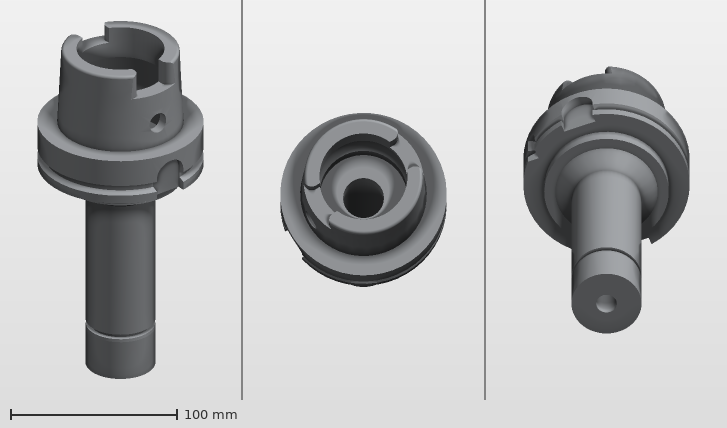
import cadquery as cq
import math

overall_length = 215.0
shank_length = 49.9
flange_width = 29.0
collar_height = 8.2
cone_height = 9.7
nut_height = 27.0
neck_height = 3.2

flange_top = overall_length - shank_length
flange_bottom = flange_top - flange_width
collar_bottom = flange_bottom - collar_height
cone_bottom = collar_bottom - cone_height
neck_top = nut_height + neck_height

shank_base_radius = 38.0
shank_taper = 0.1
shank_top_radius = shank_base_radius - shank_length * shank_taper / 2
flange_diameter = 100.0
flange_radius = flange_diameter / 2
collar_radius = 37.5
shaft_radius = 21.0
cone_top_radius = shaft_radius + cone_height
neck_radius = 18.0
shank_rim_fillet = 2.0

groove_top = flange_top - 17.0
groove_width = 6.7
groove_depth = 3.7
groove_side_height = 1.7

mouth_radius = 26.5
mouth_depth = 20.5
chamber_radius = 31.4
chamber_depth = 40.5
chamber_curve_radius = 9.9
pocket_depth = 60.8
bore_radius = 12.3

drive_slot_width = 20.0
finger_half_length = 32.2
finger_corner_radius = 5.0
shallow_slot_depth = 10.0
deep_slot_depth = 15.3

cross_hole_radius = 6.2
cross_hole_level = flange_top + 15.0

keyway_width = drive_slot_width
keyway_top = flange_top - 5.2
drive_keyway_floor = 44.0
notch_floor = 32.2
notch_offset = 41.3

nut_edge_height = 2.0
nut_edge_inset = 0.2
collet_bore_radius = 6.2
collet_length = 34.0


def cylinder(radius, bottom, top):
    return cq.Workplane("XY").workplane(offset=bottom).circle(radius).extrude(top - bottom)


def block(x_min, x_max, y_width, z_min, z_max, y_center):
    size = (x_max - x_min, y_width, z_max - z_min)
    return cq.Workplane("XY").box(*size, centered=(False, True, False)).translate((x_min, y_center, z_min))


def turned_holder():
    groove_bottom = groove_top - groove_width
    groove_radius = flange_radius - groove_depth
    return (
        cq.Workplane("YZ")
        .moveTo(0, nut_height)
        .lineTo(neck_radius, nut_height)
        .lineTo(neck_radius, neck_top)
        .lineTo(shaft_radius, neck_top)
        .lineTo(shaft_radius, cone_bottom)
        .lineTo(cone_top_radius, collar_bottom)
        .lineTo(collar_radius, collar_bottom)
        .lineTo(collar_radius, flange_bottom)
        .lineTo(flange_radius, flange_bottom)
        .lineTo(flange_radius, groove_bottom)
        .lineTo(groove_radius, groove_bottom + groove_side_height)
        .lineTo(groove_radius, groove_top - groove_side_height)
        .lineTo(flange_radius, groove_top)
        .lineTo(flange_radius, flange_top)
        .lineTo(shank_base_radius, flange_top)
        .lineTo(shank_top_radius, overall_length)
        .lineTo(0, overall_length)
        .close()
        .revolve(360, (0, 0), (0, 1))
        .faces(">Z")
        .edges()
        .fillet(shank_rim_fillet)
    )


def drive_slot(depth, side):
    """Slot that flares at rounded corners into a flat relief; side is -1 or +1 along X."""
    floor = overall_length - depth
    half_slot = drive_slot_width / 2
    corner = finger_corner_radius
    reach = shank_base_radius
    profile = (
        cq.Workplane("XY")
        .workplane(offset=floor)
        .moveTo(0, half_slot)
        .lineTo(finger_half_length - corner, half_slot)
        .radiusArc((finger_half_length, half_slot + corner), -corner)
        .lineTo(finger_half_length, reach)
        .lineTo(reach, reach)
        .lineTo(reach, -reach)
        .lineTo(finger_half_length, -reach)
        .lineTo(finger_half_length, -half_slot - corner)
        .radiusArc((finger_half_length - corner, -half_slot), -corner)
        .lineTo(0, -half_slot)
        .close()
    )
    slot = profile.extrude(depth)
    return slot if side > 0 else slot.mirror("YZ")


def keyway(floor, side, offset=0):
    """Round-topped keyway cut along X, open at the bottom of the flange."""
    radius = keyway_width / 2
    arch_level = keyway_top - radius
    slot = block(floor, flange_radius, keyway_width, flange_bottom, arch_level, offset)
    arch = (
        cq.Workplane("YZ")
        .workplane(offset=floor)
        .center(offset, arch_level)
        .circle(radius)
        .extrude(flange_radius - floor)
    )
    cutter = slot.union(arch)
    return cutter if side > 0 else cutter.mirror("YZ")


def shank_cavity():
    """Open mouth, wider clamping chamber, and a rounded step narrowing to the pocket below."""
    mouth_bottom = overall_length - mouth_depth
    chamber_bottom = overall_length - chamber_depth
    curve_run = chamber_radius - mouth_radius
    curve_drop = math.sqrt(chamber_curve_radius**2 - (chamber_curve_radius - curve_run) ** 2)
    pocket_floor = overall_length - pocket_depth
    return (
        cq.Workplane("YZ")
        .moveTo(0, pocket_floor)
        .lineTo(mouth_radius, pocket_floor)
        .lineTo(mouth_radius, chamber_bottom - curve_drop)
        .radiusArc((chamber_radius, chamber_bottom), -chamber_curve_radius)
        .lineTo(chamber_radius, mouth_bottom)
        .lineTo(mouth_radius, mouth_bottom)
        .lineTo(mouth_radius, overall_length)
        .lineTo(0, overall_length)
        .close()
        .revolve(360, (0, 0), (0, 1))
    )


def make_holder():
    cross_hole = (
        cq.Workplane("YZ")
        .center(0, cross_hole_level)
        .circle(cross_hole_radius)
        .extrude(shank_base_radius, both=True)
    )
    return (
        turned_holder()
        .cut(shank_cavity())
        .cut(cylinder(bore_radius, nut_height, overall_length))
        .cut(drive_slot(shallow_slot_depth, -1))
        .cut(drive_slot(deep_slot_depth, 1))
        .cut(cross_hole)
        .cut(keyway(drive_keyway_floor, -1))
        .cut(keyway(drive_keyway_floor, 1))
        .cut(keyway(notch_floor, -1, notch_offset))
    )


def make_nut():
    return (
        cylinder(shaft_radius, 0, nut_height)
        .faces(">Z")
        .edges()
        .chamfer(nut_edge_height, nut_edge_inset)
        .cut(cylinder(bore_radius, 0, nut_height))
    )


def make_collet():
    return cylinder(bore_radius, 0, collet_length).cut(cylinder(collet_bore_radius, 0, collet_length))


holder = make_holder()
nut = make_nut()
collet = make_collet()

result = cq.Compound.makeCompound([holder.val(), nut.val(), collet.val()])